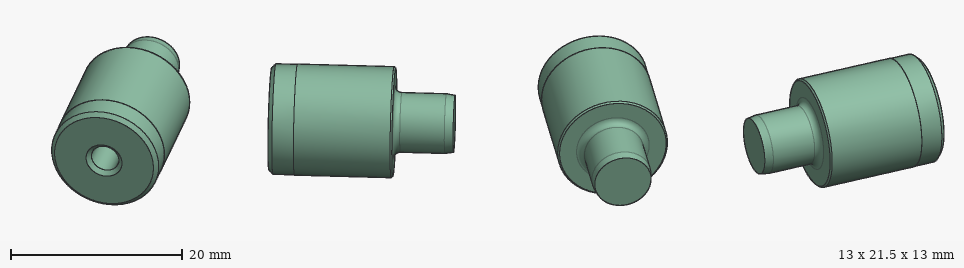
import cadquery as cq
import math

total_length = 21.5

body_radius = 6.504
body_length = 14.5
back_chamfer = 0.2

band_radius = 6.47
band_length = 3.0
front_chamfer = 0.5

pin_radius = 3.5
root_radius = 0.8
tip_length = 1.0
tip_taper = 0.17

hole_radius = 1.65
hole_depth = 10.0
mouth_radius = 2.17
mouth_depth = mouth_radius - hole_radius
drill_point_angle = 118.0


def turned_body():
    """Revolve the half outline (radius, y) of the body and pin."""
    root_end = body_length + root_radius
    root_mid_offset = root_radius * (1 - math.sqrt(0.5))
    root_mid = (pin_radius + root_mid_offset, body_length + root_mid_offset)
    outline = (
        cq.Workplane("XY")
        .lineTo(band_radius - front_chamfer, 0)
        .lineTo(band_radius, front_chamfer)
        .lineTo(band_radius, band_length)
        .lineTo(body_radius, band_length)
        .lineTo(body_radius, body_length - back_chamfer)
        .lineTo(body_radius - back_chamfer, body_length)
        .lineTo(pin_radius + root_radius, body_length)
        .threePointArc(root_mid, (pin_radius, root_end))
        .lineTo(pin_radius, total_length - tip_length)
        .lineTo(pin_radius - tip_taper, total_length)
        .lineTo(0, total_length)
        .close()
    )
    return outline.revolve(360, (0, 0), (0, 1))


def blind_hole():
    """Revolve the half outline (radius, y) of the hole."""
    point_length = hole_radius / math.tan(math.radians(drill_point_angle / 2))
    outline = (
        cq.Workplane("XY")
        .lineTo(mouth_radius, 0)
        .lineTo(hole_radius, mouth_depth)
        .lineTo(hole_radius, hole_depth)
        .lineTo(0, hole_depth + point_length)
        .close()
    )
    return outline.revolve(360, (0, 0), (0, 1))


result = turned_body().cut(blind_hole())